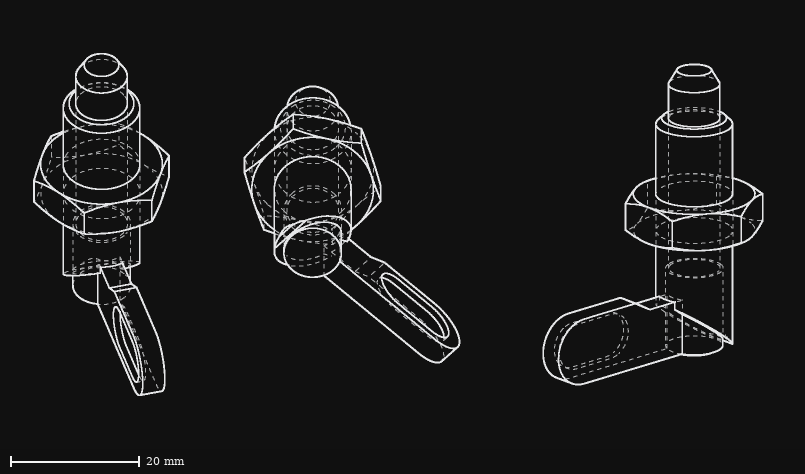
import cadquery as cq
import math

overall_height = 46.75

pin_radius = 4.0
pin_tip_radius = 2.7
pin_tip_height = 2.3
barrel_radius = 4.5
dome_height = 1.2
barrel_top = 14.02

lever_thickness = 3.6
lever_end_x = 30.0
lever_bottom = dome_height
lever_top = 11.9
lever_neck_top = 10.2
neck_end_x = 10.85
ramp_end_x = 13.8
lever_end_radius = (lever_top - lever_bottom) / 2
lever_mid_z = (lever_top + lever_bottom) / 2

recess_length = 14.5
recess_height = 7.3
recess_center_x = 20.45
recess_depth = 1.08

sleeve_radius = 6.0
sleeve_bottom = dome_height
sleeve_top = 38.8
sleeve_chamfer = 0.95
cam_start_x = -4.8
cam_angle = 36.3
relief_depth = 0.2
relief_height = 0.55
cam_cut_reach = 2 * sleeve_radius

nut_across_flats = 19.0
nut_thickness = 6.05
nut_bottom = 20.25
nut_chamfer_angle = 30.0
nut_corner_radius = nut_across_flats / math.sqrt(3)


def cylinder(radius, bottom, top):
    return cq.Workplane("XY").workplane(offset=bottom).circle(radius).extrude(top - bottom)


def make_core():
    """Locating pin, lower barrel and spherical dome, revolved as one profile."""
    dome_radius = (barrel_radius**2 + dome_height**2) / (2 * dome_height)
    half_angle = math.asin(barrel_radius / dome_radius) / 2
    dome_mid = (dome_radius * math.sin(half_angle), dome_radius * (1 - math.cos(half_angle)))
    return (
        cq.Workplane("XZ")
        .moveTo(0, 0)
        .threePointArc(dome_mid, (barrel_radius, dome_height))
        .lineTo(barrel_radius, barrel_top)
        .lineTo(pin_radius, barrel_top)
        .lineTo(pin_radius, overall_height - pin_tip_height)
        .lineTo(pin_tip_radius, overall_height)
        .lineTo(0, overall_height)
        .close()
        .revolve(360, (0, 0, 0), (0, 1, 0))
    )


def make_lever_plate():
    """Lever plate from the axis to its rounded end, without the recess."""
    arc_x = lever_end_x - lever_end_radius
    return (
        cq.Workplane("XZ")
        .moveTo(0, lever_bottom)
        .lineTo(arc_x, lever_bottom)
        .threePointArc((lever_end_x, lever_mid_z), (arc_x, lever_top))
        .lineTo(ramp_end_x, lever_top)
        .lineTo(neck_end_x, lever_neck_top)
        .lineTo(0, lever_neck_top)
        .close()
        .extrude(lever_thickness / 2, both=True)
    )


def make_lever_recess():
    """Round-ended recess in the -Y face of the lever."""
    return (
        cq.Workplane("XZ", origin=(recess_center_x, -lever_thickness / 2, lever_mid_z))
        .slot2D(recess_length, recess_height)
        .extrude(-recess_depth)
    )


def make_plunger(core, lever_plate):
    return core.union(lever_plate).cut(make_lever_recess())


def make_cam_cut():
    """Wedge below the sloped cam face at the lower end of the sleeve."""
    rise = cam_cut_reach * math.tan(math.radians(cam_angle))
    return (
        cq.Workplane("XZ")
        .moveTo(cam_start_x, sleeve_bottom)
        .lineTo(cam_start_x + cam_cut_reach, sleeve_bottom)
        .lineTo(cam_start_x + cam_cut_reach, sleeve_bottom + rise)
        .close()
        .extrude(sleeve_radius, both=True)
    )


def make_relief_cut():
    """Small flat bevel on the lower -X rim of the sleeve."""
    return (
        cq.Workplane("XZ")
        .moveTo(-sleeve_radius, sleeve_bottom)
        .lineTo(-sleeve_radius + relief_depth, sleeve_bottom)
        .lineTo(-sleeve_radius, sleeve_bottom + relief_height)
        .close()
        .extrude(sleeve_radius, both=True)
    )


def make_sleeve(core, lever_plate):
    """Tube with a cam end, bored and slotted to fit the plunger."""
    body = cylinder(sleeve_radius, sleeve_bottom, sleeve_top).faces(">Z").chamfer(sleeve_chamfer)
    return body.cut(make_cam_cut()).cut(make_relief_cut()).cut(core).cut(lever_plate)


def make_nut():
    """Hexagon nut with corners along Y and both ends cone-chamfered."""
    cone_drop = (nut_corner_radius - nut_across_flats / 2) * math.tan(math.radians(nut_chamfer_angle))
    blank = (
        cq.Workplane("XY")
        .workplane(offset=nut_bottom)
        .transformed(rotate=(0, 0, 90))
        .polygon(6, 2 * nut_corner_radius)
        .extrude(nut_thickness)
    )
    envelope = (
        cylinder(nut_corner_radius, nut_bottom, nut_bottom + nut_thickness)
        .faces("<Z or >Z")
        .chamfer(cone_drop, nut_corner_radius - nut_across_flats / 2)
    )
    bore = cylinder(sleeve_radius, nut_bottom, nut_bottom + nut_thickness)
    return blank.intersect(envelope).cut(bore)


core = make_core()
lever_plate = make_lever_plate()
plunger = make_plunger(core, lever_plate)
sleeve = make_sleeve(core, lever_plate)
nut = make_nut()

result = cq.Compound.makeCompound([plunger.val(), sleeve.val(), nut.val()])